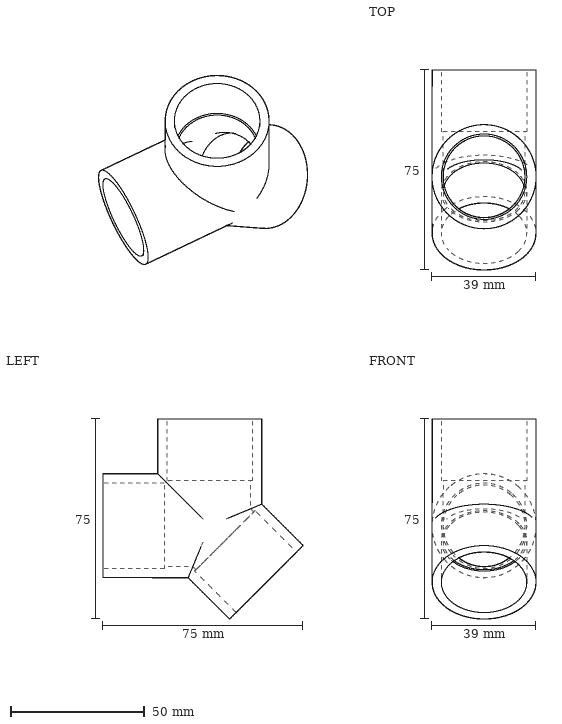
import cadquery as cq
import math

overall_size = 75.0
outer_diameter = 39.0
socket_diameter = 32.0
core_diameter = 30.6
straight_socket_depth = 23.0
diagonal_socket_depth = 22.0
diagonal_length = 30.0

diagonal_reach = (diagonal_length + outer_diameter / 2) * math.sin(math.radians(45))
straight_length = overall_size - diagonal_reach

arms = [
    ((0, 1, 0), straight_length, straight_socket_depth),
    ((0, 0, 1), straight_length, straight_socket_depth),
    ((0, -1, -1), diagonal_length, diagonal_socket_depth),
]


def arm_cylinder(direction, diameter, start, end):
    """Round bar along an arm axis between two distances from the origin."""
    axis = cq.Vector(*direction).normalized()
    bar = cq.Solid.makeCylinder(diameter / 2, end - start, axis * start, axis)
    return cq.Workplane("XY").newObject([bar])


def joined_arms(diameter):
    """The three arms as solid bars, with a ball closing the joint at the origin."""
    body = cq.Workplane("XY").sphere(diameter / 2)
    for direction, length, _ in arms:
        body = body.union(arm_cylinder(direction, diameter, 0, length))
    return body


result = joined_arms(outer_diameter).cut(joined_arms(core_diameter))

for direction, length, socket_depth in arms:
    socket = arm_cylinder(direction, socket_diameter, length - socket_depth, length)
    result = result.cut(socket)